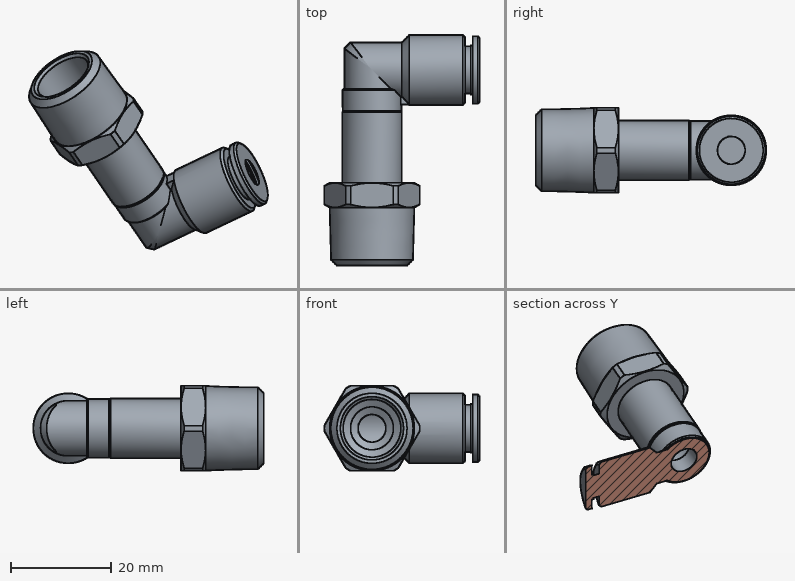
import cadquery as cq
import math


total_length = 46.0
collar_radius = 7.0
port_end = 21.5
thread_end = collar_radius - total_length

elbow_radius = 5.5
elbow_corner_reach = 7.0
elbow_dome_clearance = 0.01
elbow_dome_height = elbow_radius + elbow_dome_clearance
bore_radius = 2.75

collar_start = 6.0
collar_bevel = collar_radius - elbow_radius
collar_end = 18.6
collar_end_chamfer = 0.5
neck_radius = 4.75
lip_radius = 4.9
lip_start = 19.75
flange_start = 20.05
flange_radius = 6.75
flange_chamfer = 0.4

sleeve_radius = 5.9
sleeve_top = -3.73
sleeve_bottom = -8.1
sleeve_chamfer = 0.28
groove_radius = 5.6
stem_radius = 6.0
stem_top = -8.45

web_bottom = -6.9
web_half_thickness = 1.4

hex_top = -22.45
hex_height = 5.0
hex_bottom = hex_top - hex_height
hex_flats = 17.0
hex_corner_radius = 9.5
hex_bevel_radius = 8.35
hex_bevel_height = (hex_corner_radius - hex_bevel_radius) * math.tan(math.radians(30))
thread_top_radius = 8.45
thread_tip_radius = 8.2
thread_chamfer = 1.2

mouth_radius = 6.3
inlet_radius = 5.75
inlet_depth = 11.95
stem_bore_radius = 4.3
cone_length = 0.87
stem_bore_end = sleeve_bottom


def turned_about_y(profile):
    """Revolve (radius, y) points around the stem axis."""
    return cq.Workplane("XY").polyline(profile).close().revolve(360, (0, 0, 0), (0, 1, 0))


def turned_about_x(profile):
    """Revolve (x, radius) points around the port axis."""
    return cq.Workplane("XY").polyline(profile).close().revolve(360, (0, 0, 0), (1, 0, 0))


def make_elbow():
    """Two equal cylinders mitred at 45 degrees, with the outer corner
    rounded by a dome that meets both cylinders and fades out towards their crowns."""
    reach = 2 * elbow_radius
    along_x = cq.Workplane("YZ").workplane(offset=-reach).circle(elbow_radius).extrude(reach + collar_start)
    along_y = cq.Workplane("XZ").workplane(offset=-reach).circle(elbow_radius).extrude(reach + collar_start)
    port_side = (
        cq.Workplane("XY").polyline([(-reach, reach), (reach, reach), (reach, -reach)]).close()
        .extrude(reach, both=True)
    )
    stem_side = (
        cq.Workplane("XY").polyline([(-reach, reach), (-reach, -reach), (reach, -reach)]).close()
        .extrude(reach, both=True)
    )
    elbow = along_x.intersect(port_side).union(along_y.intersect(stem_side))
    dome = (
        cq.Workplane("XZ").moveTo(0, -elbow_dome_height)
        .ellipseArc(elbow_corner_reach, elbow_dome_height, -90, 90, startAtCurrent=True).close()
        .revolve(360, (0, 0, 0), (0, 1, 0))
    )
    outer_quadrant = cq.Workplane("XY").rect(-reach, reach, centered=False).extrude(reach, both=True)
    return elbow.cut(outer_quadrant.cut(dome))


def make_port():
    """Bevelled collar, neck and release-ring flange."""
    return turned_about_x([
        (0, 0),
        (0, elbow_radius - collar_bevel),
        (collar_start, elbow_radius - collar_bevel),
        (collar_start, elbow_radius),
        (collar_start + collar_bevel, collar_radius),
        (collar_end - collar_end_chamfer, collar_radius),
        (collar_end, collar_radius - collar_end_chamfer),
        (collar_end, neck_radius),
        (lip_start, neck_radius),
        (lip_start, lip_radius),
        (flange_start, lip_radius),
        (flange_start, flange_radius),
        (port_end - flange_chamfer, flange_radius),
        (port_end, flange_radius - flange_chamfer),
        (port_end, 0),
    ])


def make_stem():
    """Sleeve, groove, plain stem and tapered thread body."""
    return turned_about_y([
        (0, sleeve_top),
        (sleeve_radius - sleeve_chamfer, sleeve_top),
        (sleeve_radius, sleeve_top - sleeve_chamfer),
        (sleeve_radius, sleeve_bottom),
        (groove_radius, (sleeve_bottom + stem_top) / 2),
        (stem_radius, stem_top),
        (stem_radius, hex_bottom),
        (thread_top_radius, hex_bottom),
        (thread_tip_radius, thread_end + thread_chamfer),
        (thread_tip_radius - thread_chamfer, thread_end),
        (0, thread_end),
    ])


def make_web():
    """Flat web filling the gap beside the stem under the collar bevel."""
    width = collar_start + collar_bevel
    return (
        cq.Workplane("XY").rect(width, web_bottom, centered=False)
        .extrude(web_half_thickness, both=True)
    )


def make_hexagon():
    """Hexagon with truncated corners and 30 degree bevels on both faces."""
    hex_diameter = hex_flats / math.cos(math.radians(30))
    prism = cq.Workplane("XZ").workplane(offset=-hex_top).polygon(6, hex_diameter).extrude(hex_height)
    envelope = turned_about_y([
        (0, hex_top),
        (hex_bevel_radius, hex_top),
        (hex_corner_radius, hex_top - hex_bevel_height),
        (hex_corner_radius, hex_bottom + hex_bevel_height),
        (hex_bevel_radius, hex_bottom),
        (0, hex_bottom),
    ])
    return prism.intersect(envelope)


def make_flow_passage():
    """Stepped inlet from the thread end, meeting a round bore through the port."""
    mouth_chamfer = mouth_radius - inlet_radius
    inlet_end = thread_end + inlet_depth
    stem_bore_start = inlet_end + cone_length
    inlet = turned_about_y([
        (0, thread_end),
        (mouth_radius, thread_end),
        (inlet_radius, thread_end + mouth_chamfer),
        (inlet_radius, inlet_end),
        (stem_bore_radius, stem_bore_start),
        (stem_bore_radius, stem_bore_end),
        (bore_radius, stem_bore_end + cone_length),
        (bore_radius, 0),
        (0, 0),
    ])
    outlet = cq.Workplane("YZ").workplane(offset=-bore_radius).circle(bore_radius).extrude(port_end + bore_radius)
    return inlet.union(outlet)


body = make_elbow().union(make_port()).union(make_stem()).union(make_web()).union(make_hexagon())
result = body.cut(make_flow_passage())